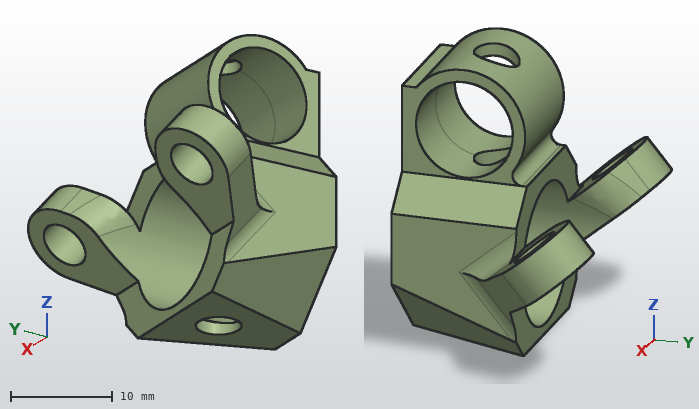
import cadquery as cq
import math

TOTAL_WIDTH = 32.57
TOTAL_DEPTH = 21.6
TOTAL_HEIGHT = 28.9

COLLAR_HALF_WIDTH = 9.2
COLLAR_DEPTH = 12.93
COLLAR_TOP = 17.42
BORE_DIAMETER = 14.5
BORE_CENTRE_Z = 8.25

FRONT_CORNER_CUT = 6.77
BACK_CORNER_CUT = 2.2

TUBE_WIDTH = 11.9
TUBE_OUTER_RADIUS = 6.3
TUBE_BORE_DIAMETER = 10.0
TUBE_CENTRE_Y = COLLAR_DEPTH / 2
TUBE_CENTRE_Z = TOTAL_HEIGHT - TUBE_OUTER_RADIUS
FRONT_PLATE_TOP = 26.45
PLATE_BOTTOM = BORE_CENTRE_Z
TUBE_FOOT_FILLET = 1.0
UPPER_CHAMFER = COLLAR_HALF_WIDTH - TUBE_WIDTH / 2

VERTICAL_HOLE_DIAMETER = 4.5
VERTICAL_HOLE_X = 0.13
VERTICAL_HOLE_Y = 7.85

LUG_TILT = math.radians(40)
LUG_THICKNESS = 4.0
LUG_RADIUS = 4.3
LUG_HOLE_DIAMETER = 4.9
LUG_ARM_LENGTH = 9.77
LUG_ROOT_DEPTH = 14.65
LUG_ROOT_FILLET = 2.0
LUG_INNER_FILLET = 3.9
LUG_EYE_X = TOTAL_WIDTH / 2 - LUG_RADIUS
LUG_EYE_Y = TOTAL_DEPTH - LUG_RADIUS * math.cos(LUG_TILT)
LUG_EYE_Z = 10.55

LUG_INNER_EDGE_POINT = (-6.03, 17.07, 12.18)

OVERSIZE = 2 * TOTAL_WIDTH

LUG_PLANE = cq.Plane(
    origin=(-LUG_EYE_X, LUG_EYE_Y, LUG_EYE_Z),
    xDir=(1, 0, 0),
    normal=(0, -math.sin(LUG_TILT), math.cos(LUG_TILT)),
)


def collar():
    """Collar block with its two upper edges chamfered."""
    block = cq.Workplane("XY").box(
        2 * COLLAR_HALF_WIDTH, COLLAR_DEPTH, COLLAR_TOP, centered=(True, False, False)
    )
    return block.edges("|Y and >Z").chamfer(UPPER_CHAMFER)


def cross_tube():
    """Solid tube body with its front plate and the filleted foot at the back."""
    fillet_z = COLLAR_TOP + TUBE_FOOT_FILLET
    centre_distance = TUBE_OUTER_RADIUS + TUBE_FOOT_FILLET
    drop = TUBE_CENTRE_Z - fillet_z
    fillet_y = TUBE_CENTRE_Y + math.sqrt(centre_distance**2 - drop**2)

    cylinder = (
        cq.Workplane("YZ")
        .center(TUBE_CENTRE_Y, TUBE_CENTRE_Z)
        .circle(TUBE_OUTER_RADIUS)
        .extrude(TUBE_WIDTH / 2, both=True)
    )
    plate = cq.Workplane("XY").workplane(offset=PLATE_BOTTOM).box(
        TUBE_WIDTH, TUBE_CENTRE_Y, FRONT_PLATE_TOP - PLATE_BOTTOM, centered=(True, False, False)
    )
    foot = (
        cq.Workplane("YZ")
        .moveTo(TUBE_CENTRE_Y, COLLAR_TOP)
        .lineTo(fillet_y, COLLAR_TOP)
        .lineTo(fillet_y, fillet_z)
        .lineTo(TUBE_CENTRE_Y, TUBE_CENTRE_Z)
        .close()
        .extrude(TUBE_WIDTH / 2, both=True)
    )
    fillet_cutter = (
        cq.Workplane("YZ")
        .center(fillet_y, fillet_z)
        .circle(TUBE_FOOT_FILLET)
        .extrude(TUBE_WIDTH, both=True)
    )
    return plate.union(foot.cut(fillet_cutter)).union(cylinder)


def main_bore():
    return (
        cq.Workplane("XZ")
        .center(0, BORE_CENTRE_Z)
        .circle(BORE_DIAMETER / 2)
        .extrude(OVERSIZE, both=True)
    )


def lug_arm(thickness):
    """Straight arm running from the lug eye at 45 degrees towards the collar."""
    return (
        cq.Workplane(LUG_PLANE)
        .transformed(rotate=(0, 0, -45))
        .center(LUG_ARM_LENGTH / 2, 0)
        .rect(LUG_ARM_LENGTH, 2 * LUG_RADIUS)
        .extrude(thickness)
    )


def lug_plate():
    """Tilted plate, cut by the bore and rounded along the edge left on its inner flank."""
    eye = cq.Workplane(LUG_PLANE).circle(LUG_RADIUS).extrude(LUG_THICKNESS)
    plate = eye.union(lug_arm(LUG_THICKNESS)).cut(main_bore())
    inner_edge = cq.selectors.NearestToPointSelector(LUG_INNER_EDGE_POINT)
    return plate.edges(inner_edge).fillet(LUG_INNER_FILLET)


def lug_root():
    """Deep arm merging into the side wall with root fillets, ending at the collar back."""
    wall = cq.Workplane("XY").box(COLLAR_HALF_WIDTH, OVERSIZE, OVERSIZE)
    wall = wall.translate((-COLLAR_HALF_WIDTH / 2, 0, 0))
    root = wall.union(lug_arm(LUG_THICKNESS)).union(lug_arm(-LUG_ROOT_DEPTH))

    reach = COLLAR_DEPTH * 2
    root_edges = cq.selectors.BoxSelector(
        (-COLLAR_HALF_WIDTH - 0.33, -reach, -reach),
        (-COLLAR_HALF_WIDTH + 0.33, reach, reach),
    )
    root = root.edges(root_edges).fillet(LUG_ROOT_FILLET)
    envelope = cq.Workplane("XY").box(
        TOTAL_WIDTH, COLLAR_DEPTH, COLLAR_TOP - UPPER_CHAMFER, centered=(True, False, False)
    )
    return root.intersect(envelope)


def lower_corner_cutter():
    """Tapered wedge that bevels the lower left corner and the lug root beside it."""

    def section(cut, y):
        inner_x = -COLLAR_HALF_WIDTH + 2 * cut
        outer_x = -COLLAR_HALF_WIDTH - cut
        points = [(inner_x, y, -cut), (outer_x, y, 2 * cut), (outer_x, y, -cut)]
        return cq.Wire.makePolygon([cq.Vector(*point) for point in points], close=True)

    front = section(FRONT_CORNER_CUT, 0)
    back = section(BACK_CORNER_CUT, COLLAR_DEPTH)
    return cq.Workplane(cq.Solid.makeLoft([front, back], True))


def lug_hole():
    return cq.Workplane(LUG_PLANE).circle(LUG_HOLE_DIAMETER / 2).extrude(LUG_THICKNESS)


def on_both_sides(feature):
    return feature.union(feature.mirror("YZ"))


tube_bore = (
    cq.Workplane("YZ")
    .center(TUBE_CENTRE_Y, TUBE_CENTRE_Z)
    .circle(TUBE_BORE_DIAMETER / 2)
    .extrude(TUBE_WIDTH, both=True)
)
vertical_hole = (
    cq.Workplane("XY")
    .center(VERTICAL_HOLE_X, VERTICAL_HOLE_Y)
    .circle(VERTICAL_HOLE_DIAMETER / 2)
    .extrude(TOTAL_HEIGHT)
)

body = collar().union(on_both_sides(lug_root()))
body = body.cut(on_both_sides(lower_corner_cutter()))
body = body.union(cross_tube()).union(on_both_sides(lug_plate()))

result = (
    body.cut(main_bore())
    .cut(tube_bore)
    .cut(vertical_hole)
    .cut(on_both_sides(lug_hole()))
)